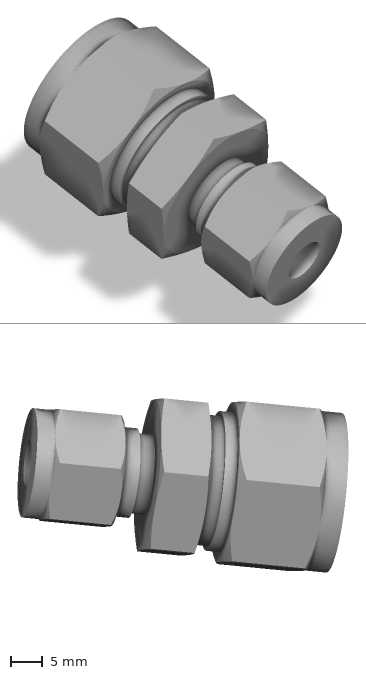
import cadquery as cq
import math

FLATS_PER_CORNER = math.cos(math.radians(30))

large_nut_start = 3.5
large_nut_end = 17.5
large_shoulder_end = 19.45
body_hex_start = 21.9
body_hex_end = 29.95
small_neck_end = 32.35
small_nut_start = 35.1
small_nut_end = 46.4
length = 49.25

large_nut_corners = 29.3
body_corners = 27.6
small_nut_corners = 20.15
nut_chamfer_angle = 30.0
body_chamfer_angle = 15.0

large_collar_diameter = large_nut_corners * FLATS_PER_CORNER
large_shoulder_diameter = 22.2
large_neck_diameter = 20.7
small_neck_diameter = 12.75
small_shoulder_diameter = 14.25
small_collar_diameter = 17.4

tube_socket_diameter = 15.85
tube_socket_depth = 24.4
through_bore_diameter = 7.1


def cylinder(start, end, diameter):
    """Round section on the X axis."""
    return cq.Workplane("YZ").workplane(offset=start).circle(diameter / 2).extrude(end - start)


def chamfered_hex(start, end, corners, chamfer_angle):
    """Hexagon with corners up and down, both ends turned to a cone that meets the flats."""
    prism = (
        cq.Workplane("YZ")
        .workplane(offset=start)
        .transformed(rotate=(0, 0, 90))
        .polygon(6, corners)
        .extrude(end - start)
    )
    corner_radius = corners / 2
    flat_radius = corner_radius * FLATS_PER_CORNER
    chamfer_length = (corner_radius - flat_radius) * math.tan(math.radians(chamfer_angle))
    turned_envelope = (
        cq.Workplane("XY")
        .moveTo(start, 0)
        .lineTo(start, flat_radius)
        .lineTo(start + chamfer_length, corner_radius)
        .lineTo(end - chamfer_length, corner_radius)
        .lineTo(end, flat_radius)
        .lineTo(end, 0)
        .close()
        .revolve(360, (0, 0, 0), (1, 0, 0))
    )
    return prism.intersect(turned_envelope)


sections = [
    cylinder(0, large_nut_start, large_collar_diameter),
    chamfered_hex(large_nut_start, large_nut_end, large_nut_corners, nut_chamfer_angle),
    cylinder(large_nut_end, large_shoulder_end, large_shoulder_diameter),
    cylinder(large_shoulder_end, body_hex_start, large_neck_diameter),
    chamfered_hex(body_hex_start, body_hex_end, body_corners, body_chamfer_angle),
    cylinder(body_hex_end, small_neck_end, small_neck_diameter),
    cylinder(small_neck_end, small_nut_start, small_shoulder_diameter),
    chamfered_hex(small_nut_start, small_nut_end, small_nut_corners, nut_chamfer_angle),
    cylinder(small_nut_end, length, small_collar_diameter),
]

result = sections[0]
for section in sections[1:]:
    result = result.union(section)

result = result.cut(cylinder(0, tube_socket_depth, tube_socket_diameter))
result = result.cut(cylinder(0, length, through_bore_diameter))